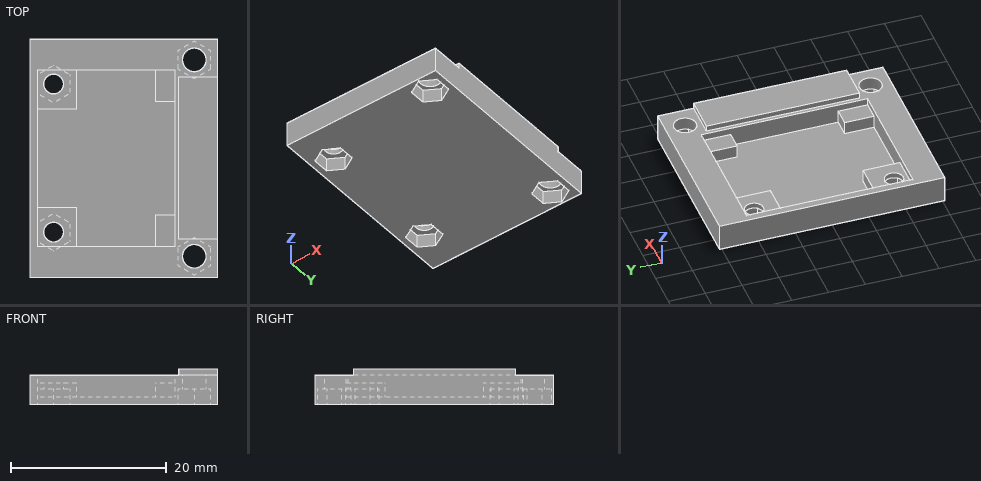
import cadquery as cq

plate_length_x = 24.1
plate_width_y = 30.6
plate_height = 3.8

strip_center_y = 0.03
strip_length_x = 5.0
strip_width_y = 20.8
strip_height = 0.8

pocket_length_x = 17.6
pocket_width_y = 22.6
pocket_left_wall = 1.0
floor_thickness = 1.0

support_height = 1.8
large_support_x = 5.0
large_support_y = 5.0
small_support_x = 2.5
small_support_y = 4.0

support_hole_diameter = 2.5
support_hole_from_left = 3.05
support_hole_spacing = 19.0
plate_hole_diameter = 3.0
plate_hole_from_right = 3.0
plate_hole_spacing = 25.2

nut_trap_depth = 2.0
nut_trap_corners = 4.8
hexagon_sides = 6
corner_on_y_angle = 90

plate_left = -plate_length_x / 2
plate_right = plate_length_x / 2
pocket_left = plate_left + pocket_left_wall
pocket_right = pocket_left + pocket_length_x


def block(x_min, y_center, z_min, size_x, size_y, size_z):
    """Box placed by its lowest X, its middle Y and its lowest Z."""
    return (
        cq.Workplane("XY")
        .box(size_x, size_y, size_z, centered=(False, True, False))
        .translate((x_min, y_center, z_min))
    )


def corner_support(x_min, side, size_x, size_y):
    """Support standing on the pocket floor against the +Y (side = 1) or -Y (side = -1) wall."""
    y_center = side * (pocket_width_y - size_y) / 2
    return block(x_min, y_center, floor_thickness, size_x, size_y, support_height)


def hole_pair(x, spacing, diameter):
    """Two vertical cylinders running through the full plate height."""
    return (
        cq.Workplane("XY")
        .pushPoints([(x, strip_center_y - spacing / 2), (x, strip_center_y + spacing / 2)])
        .circle(diameter / 2)
        .extrude(plate_height)
    )


def nut_trap_pair(x, spacing):
    """Two hexagonal prisms rising from the bottom face, each with corners toward +Y and -Y."""
    trap = (
        cq.Workplane("XY")
        .polygon(hexagon_sides, nut_trap_corners)
        .extrude(nut_trap_depth)
        .rotate((0, 0, 0), (0, 0, 1), corner_on_y_angle)
    )
    lower_trap = trap.translate((x, strip_center_y - spacing / 2, 0))
    upper_trap = trap.translate((x, strip_center_y + spacing / 2, 0))
    return lower_trap.union(upper_trap)


plate = block(plate_left, 0, 0, plate_length_x, plate_width_y, plate_height)
pocket_depth = plate_height - floor_thickness
pocket = block(pocket_left, 0, floor_thickness, pocket_length_x, pocket_width_y, pocket_depth)
strip_left = plate_right - strip_length_x
strip = block(strip_left, strip_center_y, plate_height, strip_length_x, strip_width_y, strip_height)
body = plate.cut(pocket).union(strip)

small_support_left = pocket_right - small_support_x
for side in (-1, 1):
    body = body.union(corner_support(pocket_left, side, large_support_x, large_support_y))
    body = body.union(corner_support(small_support_left, side, small_support_x, small_support_y))

support_hole_x = plate_left + support_hole_from_left
plate_hole_x = plate_right - plate_hole_from_right
body = body.cut(hole_pair(support_hole_x, support_hole_spacing, support_hole_diameter))
body = body.cut(hole_pair(plate_hole_x, plate_hole_spacing, plate_hole_diameter))
body = body.cut(nut_trap_pair(support_hole_x, support_hole_spacing))
body = body.cut(nut_trap_pair(plate_hole_x, plate_hole_spacing))

result = body